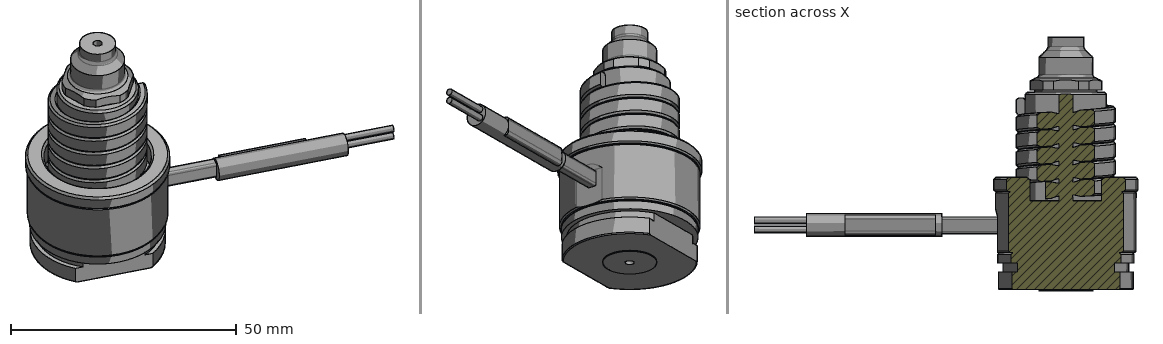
import cadquery as cq
import math

FOOT_RADIUS = 6.0
FOOT_HEIGHT = 0.25
BASE_RADIUS = 15.0
BASE_CHAMFER = 0.25
BASE_TOP = 4.2
NECK_RADIUS = 14.0
NECK_TOP = 6.15
FLATS_WIDTH = 24.0

COLLAR_RADIUS = 15.15
COLLAR_TOP = 8.45
DRUM_RADIUS = 15.6
DRUM_TOP = 22.0
FLANGE_RADIUS = 16.0
FLANGE_TOP = 25.2
EDGE_CHAMFER = 0.35
FLANGE_TOP_CHAMFER = 0.5

RECESS_FLOOR = 20.0
RECESS_RADIUS = 11.9
RECESS_CHAMFER = 0.55
RECESS_CHAMFER_ANGLE = 45.0

CORE_RADIUS = 9.05
CORE_TOP = 44.05
CORE_CHAMFER = 0.5

SPRING_RADIUS = 11.0
SPRING_PITCH = 3.86
SPRING_GAP = 0.12
WIRE_CHAMFER = 0.45
WIRE_OVERLAP = 0.05
WIRE_HEIGHT = SPRING_PITCH - SPRING_GAP
SPRING_START_ANGLE = 153.0
SPRING_END_ANGLE = 90.0
SPRING_FULL_TURNS = 5
SPRING_TURNS = SPRING_FULL_TURNS + (SPRING_END_ANGLE - SPRING_START_ANGLE) / 360
SPRING_TOP = 42.75
SPRING_BOTTOM = SPRING_TOP - WIRE_HEIGHT - SPRING_TURNS * SPRING_PITCH

HEX_SIDES = 6
HEX_ACROSS_FLATS = 15.0
HEX_CORNER_RADIUS = 8.0
HEX_NECK_RADIUS = 6.9
HEX_BOTTOM = 44.45
HEX_TOP = 47.2
HEX_CONE_HEIGHT = 0.75

BARREL_RADIUS = 6.0
BARREL_ROOT_FILLET = 0.7
BARREL_TOP = 51.75
CONE_TOP_RADIUS = 4.4
CONE_TOP = 53.3
TIP_RADIUS = 4.0
TIP_BASE = 54.1
TOTAL_HEIGHT = 56.2
BORE_DIAMETER = 2.0

SLEEVE_Z = 14.6
CABLE_Z = 14.5
CABLE_X = -0.7
CABLE_WIDTH = 2.4
CABLE_HEIGHT = 3.8
CABLE_FILLET = 0.55
CABLE_ROOT_Y = 12.0
SLEEVE_RADIUS = 2.55
SLEEVE_START_Y = 27.5
SLEEVE_END_Y = 57.5
LABEL_START_Y = 28.9
LABEL_END_Y = 48.9
LABEL_HEIGHT = 4.4
LABEL_FILLET = 0.85
LEAD_DIAMETER = 1.5
LEAD_X = -1.0
LEAD_SPACING = 2.03
LEAD_END_Y = 69.0

EXIT_FLAT_Y = 15.2
EXIT_FLAT_TOP = 16.6
EXIT_RAMP_TOP = 18.1


def cylinder(radius, bottom, top):
    return cq.Workplane("XY").workplane(offset=bottom).circle(radius).extrude(top - bottom)


def bar_along_y(profile, start, end):
    """Extrude a profile drawn on the XZ plane from y = start to y = end."""
    return profile.extrude(start - end).translate((0, start, 0))


def make_base():
    foot = cylinder(FOOT_RADIUS, 0, BASE_TOP)
    disc = cylinder(BASE_RADIUS, FOOT_HEIGHT, BASE_TOP).faces("<Z").chamfer(BASE_CHAMFER)
    neck = cylinder(NECK_RADIUS, FOOT_HEIGHT, NECK_TOP)
    flats = cq.Workplane("XY").rect(FLATS_WIDTH, 2 * BASE_RADIUS).extrude(NECK_TOP)
    return foot.union(disc).union(neck).intersect(flats)


def make_housing():
    collar = cylinder(COLLAR_RADIUS, NECK_TOP, COLLAR_TOP).faces(">Z").chamfer(EDGE_CHAMFER)
    drum = cylinder(DRUM_RADIUS, COLLAR_TOP, DRUM_TOP).edges().chamfer(EDGE_CHAMFER)
    flange = cylinder(FLANGE_RADIUS, DRUM_TOP, FLANGE_TOP)
    flange = flange.faces("<Z").chamfer(EDGE_CHAMFER)
    flange = flange.faces(">Z").chamfer(FLANGE_TOP_CHAMFER)
    housing = collar.union(drum.cut(make_exit_flat())).union(flange)

    recess = cylinder(RECESS_RADIUS, RECESS_FLOOR, FLANGE_TOP)
    rim = (
        cq.Workplane("XY")
        .workplane(offset=FLANGE_TOP)
        .circle(RECESS_RADIUS + RECESS_CHAMFER)
        .extrude(-RECESS_CHAMFER, taper=RECESS_CHAMFER_ANGLE)
    )
    return housing.cut(recess).cut(rim)


def make_exit_flat():
    """Material removed from the drum's +Y side: a flat that ramps out at its top."""
    return (
        cq.Workplane("YZ")
        .moveTo(EXIT_FLAT_Y, COLLAR_TOP)
        .lineTo(EXIT_FLAT_Y, EXIT_FLAT_TOP)
        .lineTo(DRUM_RADIUS, EXIT_RAMP_TOP)
        .lineTo(DRUM_RADIUS, COLLAR_TOP)
        .close()
        .extrude(DRUM_RADIUS, both=True)
    )


def make_core():
    return cylinder(CORE_RADIUS, COLLAR_TOP, CORE_TOP).faces(">Z").chamfer(CORE_CHAMFER)


def make_spring():
    inner = CORE_RADIUS - WIRE_OVERLAP
    width = SPRING_RADIUS - inner
    section = (
        cq.Workplane("XZ")
        .center(inner + width / 2, WIRE_HEIGHT / 2)
        .rect(width, WIRE_HEIGHT)
        .extrude(1)
        .edges("|Y")
        .chamfer(WIRE_CHAMFER)
        .faces(">Y")
        .wires()
        .val()
    )
    path = cq.Wire.makeHelix(SPRING_PITCH, SPRING_TURNS * SPRING_PITCH, SPRING_RADIUS)
    wire = cq.Workplane("XY").newObject([section]).toPending().sweep(cq.Workplane(path), isFrenet=True)
    return wire.rotate((0, 0, 0), (0, 0, 1), SPRING_START_ANGLE).translate((0, 0, SPRING_BOTTOM))


def make_hexagon():
    circumscribed = HEX_ACROSS_FLATS / math.cos(math.pi / HEX_SIDES)
    height = HEX_TOP - HEX_BOTTOM
    hexagon = (
        cq.Workplane("XY")
        .workplane(offset=HEX_BOTTOM)
        .polygon(HEX_SIDES, circumscribed)
        .extrude(height)
        .rotate((0, 0, 0), (0, 0, 1), 180 / HEX_SIDES)
    )
    cone_width = HEX_CORNER_RADIUS - BARREL_RADIUS - BARREL_ROOT_FILLET
    rounding = cylinder(HEX_CORNER_RADIUS, HEX_BOTTOM, HEX_TOP)
    rounding = rounding.faces(">Z").chamfer(HEX_CONE_HEIGHT, cone_width)
    return hexagon.intersect(rounding).union(cylinder(HEX_NECK_RADIUS, CORE_TOP, HEX_BOTTOM))


def make_nozzle():
    """Revolved barrel with a flared root, a cone and a cylindrical tip."""
    fillet_mid = BARREL_ROOT_FILLET * (1 - math.sqrt(0.5))
    return (
        cq.Workplane("XZ")
        .moveTo(0, HEX_TOP)
        .lineTo(BARREL_RADIUS + BARREL_ROOT_FILLET, HEX_TOP)
        .threePointArc(
            (BARREL_RADIUS + fillet_mid, HEX_TOP + fillet_mid),
            (BARREL_RADIUS, HEX_TOP + BARREL_ROOT_FILLET),
        )
        .lineTo(BARREL_RADIUS, BARREL_TOP)
        .lineTo(CONE_TOP_RADIUS, CONE_TOP)
        .tangentArcPoint((TIP_RADIUS, TIP_BASE), relative=False)
        .lineTo(TIP_RADIUS, TOTAL_HEIGHT)
        .lineTo(0, TOTAL_HEIGHT)
        .close()
        .revolve(360, (0, 0, 0), (0, 1, 0))
    )


def make_cable():
    section = cq.Workplane("XZ").center(CABLE_X, CABLE_Z).rect(CABLE_WIDTH, CABLE_HEIGHT)
    cable = bar_along_y(section, CABLE_ROOT_Y, SLEEVE_END_Y).edges("|Y").fillet(CABLE_FILLET)

    section = cq.Workplane("XZ").center(0, SLEEVE_Z).circle(SLEEVE_RADIUS)
    sleeve = bar_along_y(section, SLEEVE_START_Y, SLEEVE_END_Y)

    section = cq.Workplane("XZ").center(-SLEEVE_RADIUS / 2, SLEEVE_Z).rect(SLEEVE_RADIUS, LABEL_HEIGHT)
    label = bar_along_y(section, LABEL_START_Y, LABEL_END_Y).edges("<X and |Y").fillet(LABEL_FILLET)

    assembly = cable.union(sleeve).union(label)
    for side in (-1, 1):
        lead_z = SLEEVE_Z + side * LEAD_SPACING / 2
        section = cq.Workplane("XZ").center(LEAD_X, lead_z).circle(LEAD_DIAMETER / 2)
        assembly = assembly.union(bar_along_y(section, SLEEVE_START_Y, LEAD_END_Y))
    return assembly


body = make_base().union(make_housing()).union(make_core())
body = body.union(make_spring()).union(make_hexagon()).union(make_nozzle())
body = body.union(make_cable())
result = body.cut(cylinder(BORE_DIAMETER / 2, 0, TOTAL_HEIGHT))